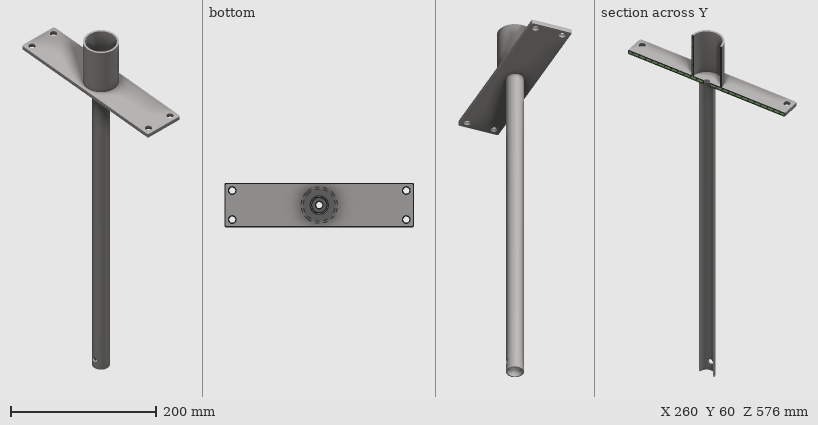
import cadquery as cq

plate_length = 260
plate_width = 60
plate_thickness = 6
corner_radius = 2
corner_hole_diameter = 10
corner_hole_inset = 10
center_hole_diameter = 10

socket_outer_diameter = 50
socket_inner_diameter = 44
socket_height = 70

tube_outer_diameter = 25
tube_inner_diameter = 21
tube_length = 500
pin_hole_diameter = 8
pin_hole_height = 15


def make_pipe(outer_diameter, inner_diameter, length, base_z):
    """Hollow round pipe on the Z axis, rising from base_z."""
    return (
        cq.Workplane("XY", origin=(0, 0, base_z))
        .circle(outer_diameter / 2)
        .circle(inner_diameter / 2)
        .extrude(length)
    )


def make_plate():
    """Flat round-cornered plate on Z = 0 with four corner holes and a center hole."""
    blank = (
        cq.Workplane("XY")
        .box(plate_length, plate_width, plate_thickness, centered=(True, True, False))
        .edges("|Z")
        .fillet(corner_radius)
    )
    corner_spacing_x = plate_length - 2 * corner_hole_inset
    corner_spacing_y = plate_width - 2 * corner_hole_inset
    return (
        blank.faces(">Z")
        .workplane(origin=(0, 0, plate_thickness))
        .rect(corner_spacing_x, corner_spacing_y, forConstruction=True)
        .vertices()
        .hole(corner_hole_diameter)
        .faces(">Z")
        .workplane(origin=(0, 0, plate_thickness))
        .hole(center_hole_diameter)
    )


def make_pin_hole():
    """Cutter for the cross hole through both walls of the tube, along Y."""
    axis_z = -tube_length + pin_hole_height
    return (
        cq.Workplane("XZ", origin=(0, 0, axis_z))
        .circle(pin_hole_diameter / 2)
        .extrude(tube_outer_diameter, both=True)
    )


socket = make_pipe(socket_outer_diameter, socket_inner_diameter, socket_height, plate_thickness)
tube = make_pipe(tube_outer_diameter, tube_inner_diameter, tube_length, -tube_length)

result = make_plate().union(socket).union(tube.cut(make_pin_hole()))